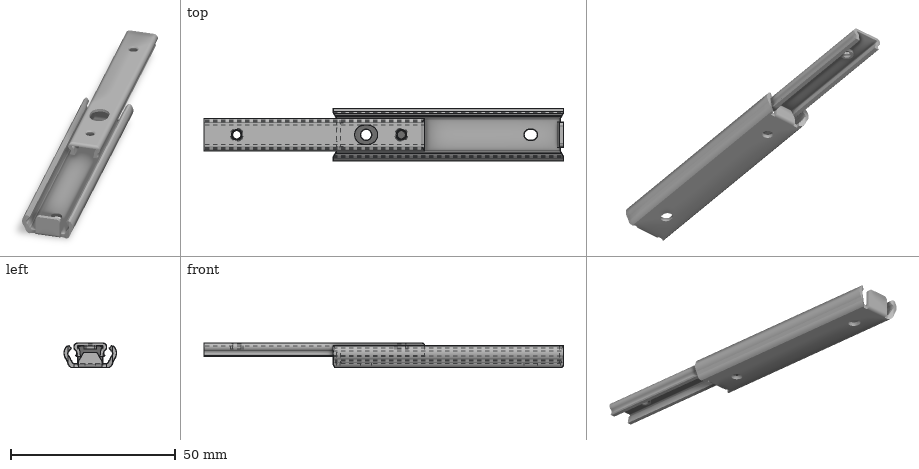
import cadquery as cq

TOTAL_LENGTH = 109.3
OUTER_LENGTH = 70.0
OUTER_START = TOTAL_LENGTH - OUTER_LENGTH
OUTER_THICKNESS = 1.2
SLIDE_TOP = 7.5

OUTER_HALF_WIDTH = 8.0
FLOOR_BOTTOM_HALF = 5.8
FLOOR_TOP_HALF = 4.8
WIDEST_HEIGHT = 4.4
LIP_TOP = 6.65

BEND_OUTER_RADIUS = 1.0
BEND_INNER_RADIUS = 0.7
RELIEF_TAPER_DEPTH = 1.0
RELIEF_MOUTH_HALF = 6.7
RELIEF_ROOT_HALF = 5.0
REAR_STOP_HALF_WIDTH = 3.85
REAR_STOP_HEIGHT = LIP_TOP
REAR_STOP_CORNER_RADIUS = 1.2
FRONT_STOP_BASE_HALF = 3.6
FRONT_STOP_TOP_HALF = 2.0
FRONT_STOP_HEIGHT = 4.6
FRONT_STOP_SETBACK = 1.0
FRONT_STOP_FACE = OUTER_START + FRONT_STOP_SETBACK

FLOOR_HOLE_INSET = 10.0
FLOOR_HOLE_DIAMETER = 3.3
FLOOR_SLOT_LENGTH = 4.0

INNER_LENGTH = 67.1
WEB_BOTTOM = 6.6
WEB_FLAT_HALF = 3.75
INNER_HALF_WIDTH = 5.0
SHOULDER_RADIUS = INNER_HALF_WIDTH - WEB_FLAT_HALF
SHOULDER_HEIGHT = SLIDE_TOP - SHOULDER_RADIUS
INNER_BOTTOM = 3.4
END_ROUND_RADIUS = SLIDE_TOP - WEB_BOTTOM

COLLAR_POSITIONS = (10.0, 60.0)
COLLAR_DIAMETER = 3.9
COLLAR_BOTTOM = 5.65
COLLAR_BORE = 2.5
COLLAR_COUNTERSINK = 3.2
ACCESS_SLOT_LENGTH = 7.0
ACCESS_SLOT_WIDTH = 5.8

CUT_HEIGHT = 2 * SLIDE_TOP


def outer_half_section():
    """Half of the channel: floor, outward bowed wall and inward turned lip."""
    return (
        cq.Workplane("YZ", origin=(OUTER_START, 0, 0))
        .moveTo(0, 0)
        .lineTo(FLOOR_BOTTOM_HALF, 0)
        .threePointArc((6.5, 0.65), (6.9, 1.6))
        .lineTo(7.35, 2.6)
        .threePointArc((OUTER_HALF_WIDTH, WIDEST_HEIGHT), (7.1, 6.5))
        .lineTo(6.5, LIP_TOP)
        .lineTo(5.75, 5.9)
        .lineTo(6.35, 5.1)
        .threePointArc((OUTER_HALF_WIDTH - OUTER_THICKNESS, WIDEST_HEIGHT), (6.4, 3.5))
        .lineTo(5.85, 2.25)
        .lineTo(5.6, 2.0)
        .threePointArc((5.35, 1.45), (FLOOR_TOP_HALF, OUTER_THICKNESS))
        .lineTo(0, OUTER_THICKNESS)
        .close()
    )


def end_relief(end_x, inward, stop_face):
    """Notch through one end of the channel: a tapered mouth, then straight in to the stop's bend."""
    taper_x = end_x + inward * RELIEF_TAPER_DEPTH
    root_x = stop_face + inward * BEND_OUTER_RADIUS
    mouth = (
        cq.Workplane("XY")
        .polyline([
            (end_x, -RELIEF_MOUTH_HALF),
            (taper_x, -RELIEF_ROOT_HALF),
            (taper_x, RELIEF_ROOT_HALF),
            (end_x, RELIEF_MOUTH_HALF),
        ])
        .close()
        .extrude(CUT_HEIGHT)
    )
    root = (
        cq.Workplane("XY")
        .moveTo(end_x, -RELIEF_ROOT_HALF)
        .lineTo(root_x, -RELIEF_ROOT_HALF)
        .lineTo(root_x, RELIEF_ROOT_HALF)
        .lineTo(end_x, RELIEF_ROOT_HALF)
        .close()
        .extrude(CUT_HEIGHT)
    )
    return mouth.union(root)


def bent_stop(face_x, inward, height, half_width):
    """L-shaped strip that curves up from the floor into an upright stop plate."""
    def at(depth, z):
        return (face_x + inward * depth, z)

    inner_face = OUTER_THICKNESS
    root = inner_face + BEND_INNER_RADIUS
    arc_share = 1 - 0.5 ** 0.5
    outer_mid = BEND_OUTER_RADIUS * arc_share
    inner_mid = BEND_INNER_RADIUS * arc_share
    return (
        cq.Workplane("XZ", origin=(0, half_width, 0))
        .moveTo(*at(root, 0))
        .lineTo(*at(BEND_OUTER_RADIUS, 0))
        .threePointArc(at(outer_mid, outer_mid), at(0, BEND_OUTER_RADIUS))
        .lineTo(*at(0, height))
        .lineTo(*at(inner_face, height))
        .lineTo(*at(inner_face, OUTER_THICKNESS + BEND_INNER_RADIUS))
        .threePointArc(
            at(inner_face + inner_mid, OUTER_THICKNESS + inner_mid),
            at(root, OUTER_THICKNESS),
        )
        .close()
        .extrude(2 * half_width)
    )


def rear_stop():
    """Upright plate with rounded top corners."""
    stop = bent_stop(TOTAL_LENGTH, -1, REAR_STOP_HEIGHT, REAR_STOP_HALF_WIDTH)
    top_corners = stop.faces(">Z").edges("|X")
    return top_corners.fillet(REAR_STOP_CORNER_RADIUS)


def front_stop():
    """Upright plate that tapers above its bend, passing between the inner rail's feet."""
    stop = bent_stop(FRONT_STOP_FACE, 1, FRONT_STOP_HEIGHT, FRONT_STOP_BASE_HALF)
    taper = (
        cq.Workplane("YZ", origin=(FRONT_STOP_FACE, 0, 0))
        .polyline([
            (-FRONT_STOP_BASE_HALF, 0),
            (FRONT_STOP_BASE_HALF, 0),
            (FRONT_STOP_BASE_HALF, OUTER_THICKNESS + BEND_INNER_RADIUS),
            (FRONT_STOP_TOP_HALF, FRONT_STOP_HEIGHT),
            (-FRONT_STOP_TOP_HALF, FRONT_STOP_HEIGHT),
            (-FRONT_STOP_BASE_HALF, OUTER_THICKNESS + BEND_INNER_RADIUS),
        ])
        .close()
        .extrude(OUTER_THICKNESS + BEND_INNER_RADIUS)
    )
    return stop.intersect(taper)


def make_outer_rail():
    half = outer_half_section().extrude(OUTER_LENGTH)
    rail = half.union(half.mirror("XZ"))
    rail = rail.cut(end_relief(OUTER_START, 1, FRONT_STOP_FACE))
    rail = rail.cut(end_relief(TOTAL_LENGTH, -1, TOTAL_LENGTH))
    rail = rail.union(front_stop()).union(rear_stop())
    round_hole = (
        cq.Workplane("XY")
        .center(OUTER_START + FLOOR_HOLE_INSET, 0)
        .circle(FLOOR_HOLE_DIAMETER / 2)
        .extrude(OUTER_THICKNESS)
    )
    slotted_hole = (
        cq.Workplane("XY")
        .center(TOTAL_LENGTH - FLOOR_HOLE_INSET, 0)
        .slot2D(FLOOR_SLOT_LENGTH, FLOOR_HOLE_DIAMETER)
        .extrude(OUTER_THICKNESS)
    )
    return rail.cut(round_hole).cut(slotted_hole)


def inner_half_section():
    """Half of the inverted channel: web, rounded shoulder, waisted leg and flared foot."""
    return (
        cq.Workplane("YZ")
        .moveTo(0, SLIDE_TOP)
        .lineTo(WEB_FLAT_HALF, SLIDE_TOP)
        .threePointArc((INNER_HALF_WIDTH, SHOULDER_HEIGHT), (4.5, 5.25))
        .tangentArcPoint((4.25, 3.9), relative=False)
        .lineTo(4.5, 3.65)
        .lineTo(4.25, INNER_BOTTOM)
        .lineTo(2.9, INNER_BOTTOM)
        .threePointArc((3.1, 4.3), (3.2, 5.2))
        .tangentArcPoint((3.75, 6.1), relative=False)
        .tangentArcPoint((3.6, WEB_BOTTOM), relative=False)
        .lineTo(0, WEB_BOTTOM)
        .close()
    )


def end_rounding():
    """Sliver removed above the inner rail's inserted end, leaving a full round across the web."""
    start_x = INNER_LENGTH - END_ROUND_RADIUS
    reach = END_ROUND_RADIUS * 0.5 ** 0.5
    return (
        cq.Workplane("XZ", origin=(0, INNER_HALF_WIDTH, 0))
        .moveTo(start_x, SLIDE_TOP)
        .threePointArc((start_x + reach, WEB_BOTTOM + reach), (INNER_LENGTH, WEB_BOTTOM))
        .lineTo(INNER_LENGTH, SLIDE_TOP)
        .close()
        .extrude(2 * INNER_HALF_WIDTH)
    )


def add_collar(rail, x):
    """Collar hanging from the web, bored through and countersunk at the top."""
    collar = (
        cq.Workplane("XY", origin=(x, 0, COLLAR_BOTTOM))
        .circle(COLLAR_DIAMETER / 2)
        .extrude(SLIDE_TOP - COLLAR_BOTTOM)
    )
    return (
        rail.union(collar)
        .copyWorkplane(cq.Workplane("XY", origin=(x, 0, SLIDE_TOP)))
        .cskHole(COLLAR_BORE, COLLAR_COUNTERSINK, 90)
    )


def make_inner_rail():
    half = inner_half_section().extrude(INNER_LENGTH)
    rail = half.union(half.mirror("XZ")).cut(end_rounding())
    access_slot = (
        cq.Workplane("XY", origin=(OUTER_START + FLOOR_HOLE_INSET, 0, WEB_BOTTOM))
        .slot2D(ACCESS_SLOT_LENGTH, ACCESS_SLOT_WIDTH)
        .extrude(SLIDE_TOP - WEB_BOTTOM)
    )
    rail = rail.cut(access_slot)
    for x in COLLAR_POSITIONS:
        rail = add_collar(rail, x)
    return rail


outer_rail = make_outer_rail()
inner_rail = make_inner_rail()

result = cq.Compound.makeCompound([outer_rail.solids().val(), inner_rail.solids().val()])